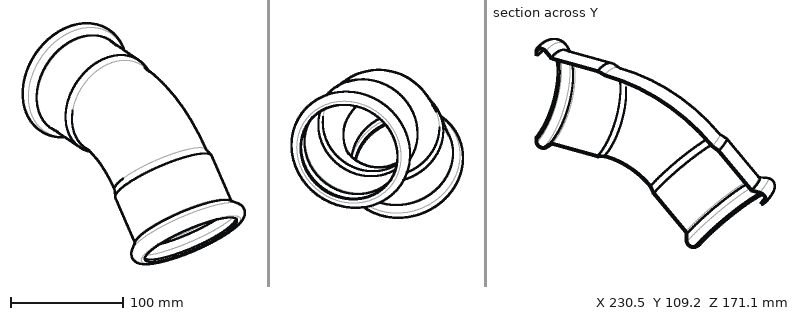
import cadquery as cq
import math

wall = 2.3
tube_radius = 44.7
socket_radius = 47.0
bead_radius = 6.5
rim_radius = 54.6
cone_end = 16.4
cone_blend_end = 17.5
taper_start = 62.7
taper_end = 69.6
bend_angle = 45
overall_length = 230.5

bore_radius = tube_radius - wall
socket_bore = socket_radius - wall
bead_center = rim_radius - bead_radius
diagonal = math.sqrt(0.5)

bend_sine = math.sin(math.radians(bend_angle))
bend_cosine = math.cos(math.radians(bend_angle))
outlet_reach = (taper_end - bead_radius) * bend_cosine + bead_center * bend_sine + bead_radius
bend_radius = (overall_length - taper_end - outlet_reach) / bend_sine


def bead_point(radius, axial, radial):
    """Point on a bead circle, in a direction from the bead's center."""
    return (bead_radius + radius * axial, bead_center + radius * radial)


def socket_profile(inset):
    """Closed half section of a socket, its surface moved inward by inset."""
    socket = socket_radius - inset
    tube = tube_radius - inset
    bead = bead_radius - inset
    cone_foot = cone_end - inset * math.tan(math.pi / 8)
    slope_point = bead_point(bead, diagonal, diagonal)
    cone_foot_radius = slope_point[0] + slope_point[1] - cone_foot
    return (
        cq.Workplane("XY")
        .moveTo(inset, 0)
        .lineTo(inset, bead_center)
        .threePointArc(
            bead_point(bead, -math.sin(math.pi / 8), math.cos(math.pi / 8)),
            slope_point,
        )
        .lineTo(cone_foot, cone_foot_radius)
        .lineTo(cone_blend_end, socket)
        .lineTo(taper_start, socket)
        .lineTo(taper_end, tube)
        .lineTo(taper_end, 0)
        .close()
    )


def revolve_about_axis(profile):
    return profile.revolve(360, (0, 0, 0), (1, 0, 0))


def make_socket():
    """Hollow socket along +X with its mouth at the origin."""
    outside = revolve_about_axis(socket_profile(0))
    cavity = revolve_about_axis(socket_profile(wall))
    mouth = cq.Workplane("YZ").circle(socket_bore).extrude(cone_end)
    return outside.cut(cavity).cut(mouth)


def make_bend():
    """Hollow tube curving down from the +X direction."""
    return (
        cq.Workplane("YZ", origin=(taper_end, 0, 0))
        .circle(tube_radius)
        .circle(bore_radius)
        .revolve(bend_angle, (0, -bend_radius, 0), (1, -bend_radius, 0))
    )


inlet = make_socket()

half_angle = math.radians(bend_angle / 2)
bend_center = (taper_end, 0, -bend_radius)
mirror_normal = cq.Vector(math.cos(half_angle), 0, -math.sin(half_angle))
outlet = inlet.mirror(mirror_normal, bend_center)

result = inlet.union(make_bend()).union(outlet)